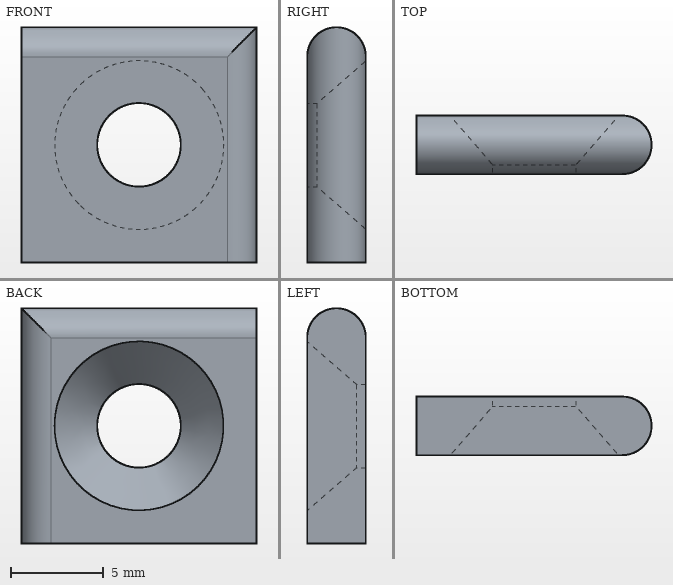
import cadquery as cq

side = 12.7
thickness = 3.175
hole_diameter = 4.5
countersink_diameter = 9.12
countersink_angle = 82

half_side = side / 2
edge_radius = thickness / 2
shoulder = half_side - edge_radius


def half_round_bar(plane):
    """Square-length bar whose section on the plane ends in a full half round.

    The section lies across the thickness: plain end at one side, round end at the other.
    Its two local directions are the thickness (first) and the length (second).
    """
    return (
        cq.Workplane(plane)
        .moveTo(-edge_radius, -half_side)
        .lineTo(-edge_radius, shoulder)
        .threePointArc((0, half_side), (edge_radius, shoulder))
        .lineTo(edge_radius, -half_side)
        .close()
        .extrude(half_side, both=True)
    )


def plate():
    """Square plate with half-round top and +X edges meeting in a mitre."""
    section_across_x = cq.Plane(origin=(0, 0, 0), xDir=(0, 1, 0), normal=(1, 0, 0))
    section_across_z = cq.Plane(origin=(0, 0, 0), xDir=(0, 1, 0), normal=(0, 0, -1))
    return half_round_bar(section_across_x).intersect(half_round_bar(section_across_z))


def with_countersunk_hole(body):
    """Central through hole along Y, countersunk from the +Y face."""
    back_face = cq.Plane(origin=(0, edge_radius, 0), xDir=(-1, 0, 0), normal=(0, 1, 0))
    return body.copyWorkplane(cq.Workplane(back_face)).cskHole(
        hole_diameter, countersink_diameter, countersink_angle
    )


result = with_countersunk_hole(plate())